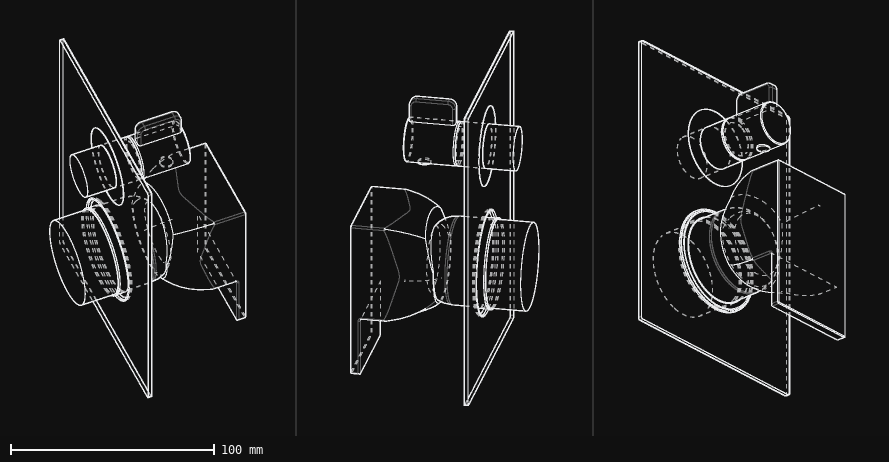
import cadquery as cq
import math


skin = 0.2

plate_width = 110.0
plate_height = 155.0
plate_thick = 2.0
plate_top = 101.7
plate_corner = 1.3
plate_skin = 0.3
plate_floor = plate_thick - plate_skin

collar_radius = 26.8
collar_height = 1.9
collar_chamfer = 1.0
collar_wall = 0.6
collar_back = plate_thick + collar_height
collar_floor = collar_back - skin

sleeve_radius = 22.0
sleeve_front = -19.5
sleeve_back = 17.5
neck_length = 1.1
neck_step = 0.2
dome_arc_radius = 12.5
dome_mouth_radius = 16.3
seal_radius = 22.5
seal_rim_radius = 22.8
seal_rim_width = 1.0
seal_front = -2.0

lever_size = 50.1
lever_back = 65.5
lever_front = 24.5
lever_bottom = -54.8
blade_thick = 4.9
lever_side_fillet = 1.0
lever_back_chamfer = 0.5
blade_root_fillet = 1.0
cut_start_height = 1.5
cut_rise = 6.1
head_sections = [
    (lever_back, 28.2, 32.1),
    (52.9, 25.5, 27.5),
    (40.8, 23.5, 25.0),
    (31.3, 20.0, 24.7),
    (lever_front, 15.6, 21.8),
]

diverter_height = 63.0
disc_radius = 20.0
diverter_radius = 11.1
diverter_front = -13.5
floor_recess_radius = 8.6
floor_recess_depth = 0.5
floor_tip_depth = 0.3
groove_start = 15.8
groove_width = 1.0
groove_depth = 0.2
bore_floor = groove_start - skin
knob_back = 42.0
knob_chamfer = 0.5
tab_front = 17.5
tab_back = 40.8
tab_width = 5.3
tab_top = 23.0
tab_corner = 3.6
tab_edge = 1.3
dot_radius = 3.3
dot_center = 33.5
dot_height = 0.5


def cylinder(radius, start, end, height=0.0):
    """Cylinder along Y from start to end, its axis at the given height."""
    axis_start = cq.Vector(0, start, height)
    return cq.Workplane(obj=cq.Solid.makeCylinder(radius, end - start, axis_start, cq.Vector(0, 1, 0)))


def make_plate():
    plate = cq.Workplane().box(plate_width, plate_thick, plate_height, centered=(True, False, False))
    plate = plate.translate((0, 0, plate_top - plate_height)).edges("|Y").fillet(plate_corner)
    plate = plate.faces("<Y").shell(-plate_skin)
    return plate.cut(cylinder(disc_radius, 0, plate_thick, diverter_height))


def make_collar():
    return cylinder(collar_radius, plate_thick, collar_back).faces(">Y").chamfer(collar_chamfer)


def make_collar_recess():
    recess = cylinder(collar_radius - collar_wall, 0, collar_floor)
    return recess.faces(">Y").chamfer(collar_chamfer)


def make_seal():
    rim = cylinder(seal_rim_radius, seal_front, seal_front + seal_rim_width)
    return cylinder(seal_radius, seal_front, collar_back).union(rim)


def sleeve_and_dome(inset):
    """Revolved solid of the sleeve and dome, its surface moved inwards by inset."""
    neck_end = sleeve_back + neck_length
    dome_radius = sleeve_radius - neck_step
    arc_center = dome_radius - dome_arc_radius
    end_angle = math.asin((dome_mouth_radius - arc_center) / dome_arc_radius)
    mid_angle = (math.pi / 2 + end_angle) / 2
    arc_radius = dome_arc_radius - inset

    def arc_point(angle):
        return arc_center + arc_radius * math.sin(angle), neck_end + arc_radius * math.cos(angle)

    mouth = arc_point(end_angle)
    return (
        cq.Workplane()
        .moveTo(0, sleeve_front)
        .lineTo(sleeve_radius - inset, sleeve_front)
        .lineTo(sleeve_radius - inset, sleeve_back)
        .lineTo(dome_radius - inset, neck_end)
        .threePointArc(arc_point(mid_angle), mouth)
        .lineTo(0, mouth[1])
        .close()
        .revolve(360, (0, 0), (0, 1))
    )


def head_section(y, corner, bulge):
    """Square wire at y with its four sides bulging outwards as arcs."""
    return cq.Wire.assembleEdges([
        cq.Edge.makeThreePointArc(cq.Vector(*a), cq.Vector(*b), cq.Vector(*c))
        for a, b, c in (
            ((corner, y, -corner), (bulge, y, 0), (corner, y, corner)),
            ((corner, y, corner), (0, y, bulge), (-corner, y, corner)),
            ((-corner, y, corner), (-bulge, y, 0), (-corner, y, -corner)),
            ((-corner, y, -corner), (0, y, -bulge), (corner, y, -corner)),
        )
    ])


def make_lever():
    half = lever_size / 2
    blade_front = lever_back - blade_thick
    lever = (
        cq.Workplane("YZ")
        .moveTo(lever_front, half)
        .lineTo(lever_back, half)
        .lineTo(lever_back, lever_bottom)
        .lineTo(blade_front, lever_bottom)
        .lineTo(blade_front, -half)
        .lineTo(lever_front, -half)
        .close()
        .extrude(half, both=True)
    )
    root = cq.selectors.NearestToPointSelector((0, blade_front, -half))
    lever = lever.edges(root).fillet(blade_root_fillet)
    lever = lever.edges("|Y").fillet(lever_side_fillet)
    lever = lever.faces(">Y").edges().chamfer(lever_back_chamfer)
    head = cq.Workplane(obj=cq.Solid.makeLoft([head_section(*s) for s in head_sections]))
    blade_zone = (
        cq.Workplane()
        .box(lever_size, blade_thick + blade_root_fillet, half - lever_bottom, centered=(True, False, False))
        .translate((0, blade_front - blade_root_fillet, lever_bottom))
    )
    lever = lever.intersect(head.union(blade_zone))
    relief = (
        cq.Workplane("YZ")
        .moveTo(lever_front, cut_start_height)
        .lineTo(lever_front + cut_rise, half)
        .lineTo(lever_front, half)
        .close()
        .extrude(half, both=True)
    )
    return lever.cut(relief)


def make_lever_plate():
    body = make_plate().union(make_collar()).cut(make_collar_recess())
    body = body.union(make_seal()).union(sleeve_and_dome(0)).union(make_lever())
    return body.cut(sleeve_and_dome(skin))


def make_tab():
    tab = cq.Workplane().box(tab_width, tab_back - tab_front, tab_top, centered=(True, False, False))
    tab = tab.translate((0, tab_front, 0)).edges("|X and >Z").fillet(tab_corner)
    tab = tab.faces(">X or <X").edges("not <Z").fillet(tab_edge)
    return tab.translate((0, 0, diverter_height))


def make_dot():
    dot = cq.Solid.makeCylinder(
        dot_radius,
        diverter_radius + dot_height,
        cq.Vector(0, dot_center, diverter_height),
        cq.Vector(0, 0, -1),
    )
    return cq.Workplane(obj=dot)


def make_diverter_bore():
    recess_floor = bore_floor + floor_recess_depth
    return (
        cq.Workplane()
        .moveTo(0, diverter_front)
        .lineTo(diverter_radius - skin, diverter_front)
        .lineTo(diverter_radius - skin, bore_floor)
        .lineTo(floor_recess_radius, bore_floor)
        .lineTo(floor_recess_radius, recess_floor)
        .lineTo(0, recess_floor + floor_tip_depth)
        .close()
        .revolve(360, (0, 0), (0, 1))
        .translate((0, 0, diverter_height))
    )


def make_diverter():
    groove_end = groove_start + groove_width
    disc = cylinder(disc_radius, plate_floor, plate_thick, diverter_height)
    sleeve = cylinder(diverter_radius, diverter_front, groove_start, diverter_height)
    neck = cylinder(diverter_radius - groove_depth, groove_start, groove_end, diverter_height)
    knob = cylinder(diverter_radius, groove_end, knob_back, diverter_height)
    knob = knob.faces(">Y").chamfer(knob_chamfer)
    body = disc.union(sleeve).union(neck).union(knob).union(make_tab()).union(make_dot())
    return body.cut(make_diverter_bore())


lever_plate = make_lever_plate()
diverter = make_diverter()
result = cq.Compound.makeCompound([lever_plate.val(), diverter.val()])